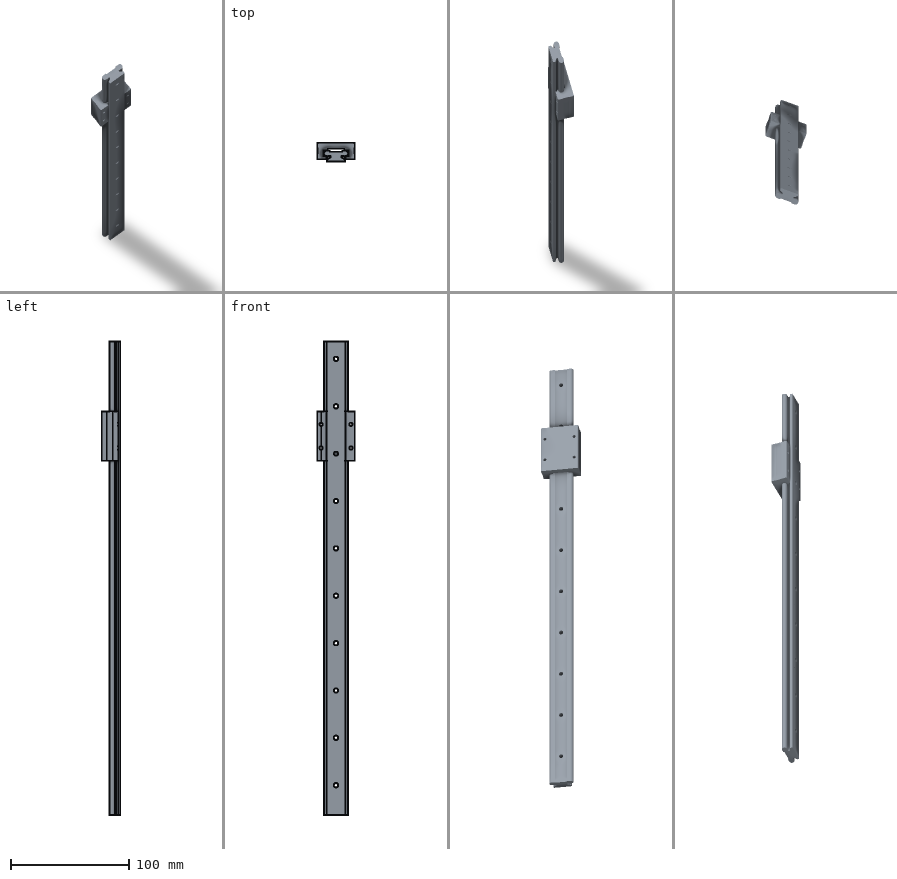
import cadquery as cq
import math


RAIL_LENGTH = 400.0
BASE_WIDTH = 15.5
BASE_SIDE_HEIGHT = 1.95
BASE_SLOPE_ANGLE = 30.0
BASE_EDGE_RADIUS = 0.2
STEM_WIDTH = 9.5
HEAD_UNDERSIDE_Y = 5.0
HEAD_TIP_RADIUS = 2.25
HEAD_TIP_CENTER_X = 8.0
RECESS_WIDTH = 10.5
RECESS_DEPTH = 1.0
RAIL_HOLE_COUNT = 10
RAIL_HOLE_PITCH = 40.0
RAIL_HOLE_TOP_MARGIN = 15.0
RAIL_HOLE_DIAMETER = 3.5

head_tip_x = HEAD_TIP_CENTER_X + HEAD_TIP_RADIUS
head_tip_y = HEAD_UNDERSIDE_Y + HEAD_TIP_RADIUS
head_top_y = HEAD_UNDERSIDE_Y + 2 * HEAD_TIP_RADIUS
base_slope_rise = (BASE_WIDTH - STEM_WIDTH) / 2 * math.tan(math.radians(BASE_SLOPE_ANGLE))

LINER_THICKNESS = 0.5
LINER_INNER_X = 7.0
LINER_HOOK_DEPTH = 1.0

liner_outer_x = head_tip_x + LINER_THICKNESS
liner_bottom_y = HEAD_UNDERSIDE_Y - LINER_THICKNESS
liner_top_y = head_top_y + LINER_THICKNESS

CARRIAGE_WIDTH = 32.0
CARRIAGE_BACK_Y = 16.0
CARRIAGE_FRONT_Y = 1.9
CARRIAGE_LENGTH = 41.5
CARRIAGE_CENTER_Z = 320.0
MOUTH_CLEARANCE = 0.3
CHANNEL_ROOF_Y = 11.0
CORNER_RADIUS = 1.0
SIDE_GROOVE_OFFSET = 5.0
SIDE_GROOVE_WIDTH = 5.0
SIDE_GROOVE_DEPTH = 0.2
CARRIAGE_HOLE_PITCH_X = 25.0
CARRIAGE_HOLE_PITCH_Z = 20.0
CARRIAGE_HOLE_DIAMETER = 2.6
LIP_STEP_DEPTH = 0.1

mouth_x = BASE_WIDTH / 2 + MOUTH_CLEARANCE
side_groove_bottom_y = CARRIAGE_FRONT_Y + SIDE_GROOVE_OFFSET
side_groove_top_y = side_groove_bottom_y + SIDE_GROOVE_WIDTH
carriage_bottom_z = CARRIAGE_CENTER_Z - CARRIAGE_LENGTH / 2


def profile_plane(z):
    """Workplane for an XY cross-section at height z."""
    return cq.Workplane("XY", origin=(0, 0, z))


def carriage_box(x_min, x_max, y_min, y_max):
    """Box with the given cross-section, as long as the carriage."""
    return (
        profile_plane(carriage_bottom_z)
        .moveTo((x_min + x_max) / 2, (y_min + y_max) / 2)
        .rect(x_max - x_min, y_max - y_min)
        .extrude(CARRIAGE_LENGTH)
    )


def holes_along_y(points, diameter):
    """Round cutters along Y at the given (x, z) points, deep enough to pass through every body."""
    return (
        cq.Workplane("XZ")
        .pushPoints(points)
        .circle(diameter / 2)
        .extrude(-CARRIAGE_BACK_Y)
    )


def rail_blank():
    """Rail without its recess and holes: sloped base, narrow stem and round-sided head."""
    half_base = BASE_WIDTH / 2
    half_stem = STEM_WIDTH / 2
    stem_bottom_y = BASE_SIDE_HEIGHT + base_slope_rise
    blank = (
        profile_plane(0)
        .moveTo(-half_base, 0)
        .lineTo(half_base, 0)
        .lineTo(half_base, BASE_SIDE_HEIGHT)
        .lineTo(half_stem, stem_bottom_y)
        .lineTo(half_stem, HEAD_UNDERSIDE_Y)
        .lineTo(HEAD_TIP_CENTER_X, HEAD_UNDERSIDE_Y)
        .threePointArc((head_tip_x, head_tip_y), (HEAD_TIP_CENTER_X, head_top_y))
        .lineTo(-HEAD_TIP_CENTER_X, head_top_y)
        .threePointArc((-head_tip_x, head_tip_y), (-HEAD_TIP_CENTER_X, HEAD_UNDERSIDE_Y))
        .lineTo(-half_stem, HEAD_UNDERSIDE_Y)
        .lineTo(-half_stem, stem_bottom_y)
        .lineTo(-half_base, BASE_SIDE_HEIGHT)
        .close()
        .extrude(RAIL_LENGTH)
    )
    return blank.faces("<Y").edges("|Z").fillet(BASE_EDGE_RADIUS)


def make_rail():
    recess = (
        profile_plane(0)
        .center(0, head_top_y)
        .rect(RECESS_WIDTH, 2 * RECESS_DEPTH)
        .extrude(RAIL_LENGTH)
    )
    first_hole_z = RAIL_LENGTH - RAIL_HOLE_TOP_MARGIN
    hole_points = [(0, first_hole_z - i * RAIL_HOLE_PITCH) for i in range(RAIL_HOLE_COUNT)]
    return rail_blank().cut(recess).cut(holes_along_y(hole_points, RAIL_HOLE_DIAMETER))


def make_liner(side):
    """Liner around one side of the rail head, hooked over the carriage lip; side is -1 or 1."""
    hook_bottom_y = liner_bottom_y - LINER_HOOK_DEPTH
    return (
        profile_plane(carriage_bottom_z)
        .moveTo(side * LINER_INNER_X, hook_bottom_y)
        .lineTo(side * mouth_x, hook_bottom_y)
        .lineTo(side * mouth_x, liner_bottom_y)
        .lineTo(side * liner_outer_x, liner_bottom_y)
        .lineTo(side * liner_outer_x, liner_top_y)
        .lineTo(side * LINER_INNER_X, liner_top_y)
        .lineTo(side * LINER_INNER_X, head_top_y)
        .lineTo(side * HEAD_TIP_CENTER_X, head_top_y)
        .threePointArc((side * head_tip_x, head_tip_y), (side * HEAD_TIP_CENTER_X, HEAD_UNDERSIDE_Y))
        .lineTo(side * LINER_INNER_X, HEAD_UNDERSIDE_Y)
        .close()
        .extrude(CARRIAGE_LENGTH)
    )


def make_carriage():
    half_width = CARRIAGE_WIDTH / 2
    body = carriage_box(-half_width, half_width, CARRIAGE_FRONT_Y, CARRIAGE_BACK_Y)
    body = body.edges("|Z").fillet(CORNER_RADIUS)

    body = body.cut(carriage_box(-mouth_x, mouth_x, CARRIAGE_FRONT_Y, liner_top_y))
    body = body.cut(carriage_box(-liner_outer_x, liner_outer_x, liner_bottom_y, liner_top_y))
    body = body.cut(carriage_box(-LINER_INNER_X, LINER_INNER_X, liner_top_y, CHANNEL_ROOF_Y))

    groove_floor_x = half_width - SIDE_GROOVE_DEPTH
    for x_min, x_max in ((-half_width, -groove_floor_x), (groove_floor_x, half_width)):
        body = body.cut(carriage_box(x_min, x_max, side_groove_bottom_y, side_groove_top_y))

    step_floor_y = CARRIAGE_FRONT_Y + LIP_STEP_DEPTH
    body = body.cut(carriage_box(-CARRIAGE_HOLE_PITCH_X / 2, -mouth_x, CARRIAGE_FRONT_Y, step_floor_y))

    half_pitch_x = CARRIAGE_HOLE_PITCH_X / 2
    half_pitch_z = CARRIAGE_HOLE_PITCH_Z / 2
    hole_points = [
        (x, CARRIAGE_CENTER_Z + z)
        for x in (-half_pitch_x, half_pitch_x)
        for z in (-half_pitch_z, half_pitch_z)
    ]
    return body.cut(holes_along_y(hole_points, CARRIAGE_HOLE_DIAMETER))


rail = make_rail()
carriage = make_carriage()
liners = [make_liner(side) for side in (-1, 1)]

result = cq.Compound.makeCompound([rail.val(), carriage.val(), *[liner.val() for liner in liners]])